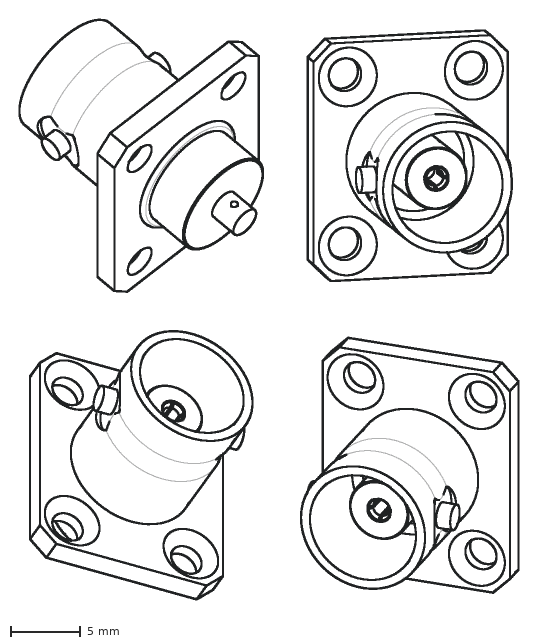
import cadquery as cq

total_length = 18.5

flange_front = 10.65
flange_thickness = 1.78
flange_back = flange_front + flange_thickness
flange_width = 14.49
flange_height = 17.54
flange_corner = 1.3
screw_spacing_y = 9.4
screw_spacing_z = 12.47
screw_hole_radius = 1.2
countersink_radius = 2.16
countersink_depth = 0.8

shell_radius = 4.81
collar_radius = 4.68
collar_length = 0.33
collar_round = 0.25
collar_back = flange_back + collar_length
rear_radius = 4.03
rear_end = 16.28
rear_chamfer_length = 0.13
rear_chamfer_drop = 0.05
tail_radius = 1.15
tail_hole_x = 17.4
tail_hole_radius = 0.25

lug_x = 4.05
lug_radius = 0.95
lug_reach = 5.55
lug_flat_radius = 2.13
lug_flat_offset = 4.45
groove_width = 2.3
groove_depth = 0.17

bore_radius = 4.1
bore_floor_radius = 3.63
bore_taper_start = 8.42
bore_floor = 9.25
insulator_radius = 2.28
insulator_front = 3.2
insulator_chamfer = 0.07
contact_cavity_radius = 0.9
contact_radius = 0.85
contact_setback = 0.1
contact_front = insulator_front + contact_setback
contact_mouth_radius = 0.83
contact_hole_radius = 0.63
contact_mouth_depth = 0.37
contact_hole_depth = 2.96
contact_slot_width = 0.17
contact_slot_depth = 2.22


def cylinder(start, end, radius):
    """Solid cylinder on the connector axis between two X positions."""
    return cq.Workplane("YZ").workplane(offset=start).circle(radius).extrude(end - start)


def cone(start, length, start_radius, end_radius):
    """Solid frustum on the connector axis."""
    profile = [(start, 0), (start, start_radius), (start + length, end_radius), (start + length, 0)]
    return cq.Workplane("XY").polyline(profile).close().revolve(360, (0, 0, 0), (1, 0, 0))


def flange():
    plate = cq.Workplane("YZ").workplane(offset=flange_front).rect(flange_width, flange_height)
    plate = plate.extrude(flange_thickness).edges("|X").chamfer(flange_corner)
    through_hole = cylinder(flange_front, flange_back, screw_hole_radius)
    countersink = cone(flange_front, countersink_depth, countersink_radius, screw_hole_radius)
    screw_hole = through_hole.union(countersink)
    for side_y in (-1, 1):
        for side_z in (-1, 1):
            place = (0, side_y * screw_spacing_y / 2, side_z * screw_spacing_z / 2)
            plate = plate.cut(screw_hole.translate(place))
    return plate


def shell():
    """Front barrel with its shallow arc-shaped groove."""
    return (
        cq.Workplane("XY")
        .moveTo(0, 0)
        .lineTo(0, shell_radius)
        .lineTo(lug_x - groove_width / 2, shell_radius)
        .threePointArc((lug_x, shell_radius - groove_depth), (lug_x + groove_width / 2, shell_radius))
        .lineTo(flange_front, shell_radius)
        .lineTo(flange_front, 0)
        .close()
        .revolve(360, (0, 0, 0), (1, 0, 0))
    )


def rear():
    """Rounded collar, rear body and cross-drilled solder tail."""
    collar = cylinder(flange_back, collar_back, collar_radius).faces(">X").edges().fillet(collar_round)
    body = cylinder(collar_back, rear_end, rear_radius)
    body = body.faces(">X").edges().chamfer(rear_chamfer_drop, rear_chamfer_length)
    tail = cylinder(rear_end, total_length, tail_radius)
    tail_hole = cq.Workplane("XY").center(tail_hole_x, 0).circle(tail_hole_radius).extrude(tail_radius)
    return collar.union(body).union(tail.cut(tail_hole))


def lug_disc(radius, inner, outer, side):
    """Cylinder along Y at the lug position, on the side given by +1 or -1."""
    plane = cq.Workplane("XZ", origin=(lug_x, side * inner, 0))
    return plane.circle(radius).extrude(-side * (outer - inner))


def bore():
    straight = cylinder(0, bore_taper_start, bore_radius)
    taper = cone(bore_taper_start, bore_floor - bore_taper_start, bore_radius, bore_floor_radius)
    return straight.union(taper)


def insulator():
    """Central insulator with an open cavity around the contact."""
    core = cylinder(insulator_front, bore_floor, insulator_radius)
    core = core.faces("<X").edges().chamfer(insulator_chamfer)
    return core.cut(cylinder(insulator_front, contact_front + contact_hole_depth, contact_cavity_radius))


def contact():
    """Funnel-mouthed contact sleeve with four slots, standing on the cavity floor."""
    hole_end = contact_front + contact_hole_depth
    sleeve = cylinder(contact_front, hole_end, contact_radius)
    sleeve = sleeve.cut(cone(contact_front, contact_mouth_depth, contact_mouth_radius, contact_hole_radius))
    sleeve = sleeve.cut(cylinder(contact_front, hole_end, contact_hole_radius))
    slot_length = 2 * contact_radius
    for size_y, size_z in ((slot_length, contact_slot_width), (contact_slot_width, slot_length)):
        slot = cq.Workplane("YZ").workplane(offset=contact_front).rect(size_y, size_z)
        sleeve = sleeve.cut(slot.extrude(contact_slot_depth))
    return sleeve


barrel = shell()
for side in (-1, 1):
    barrel = barrel.cut(lug_disc(lug_flat_radius, lug_flat_offset, lug_reach, side))
    barrel = barrel.union(lug_disc(lug_radius, bore_radius, lug_reach, side))

result = barrel.union(flange()).union(rear()).cut(bore()).union(insulator()).union(contact())